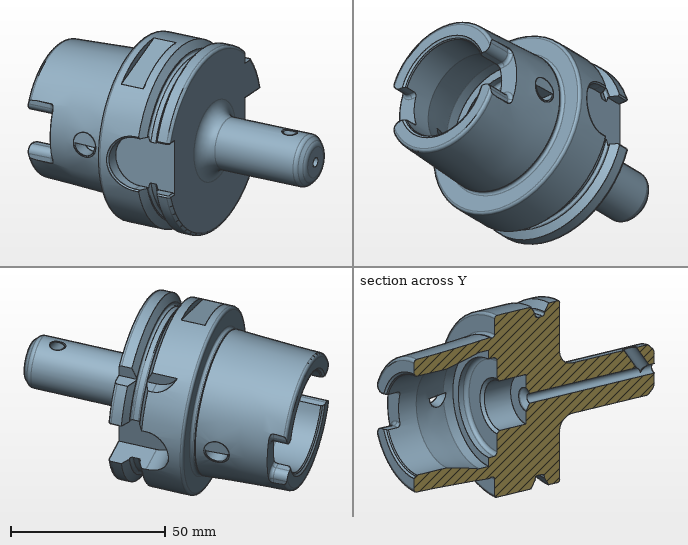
import cadquery as cq
import math

LENGTH = 95.5
FLANGE_START = 32.0
FLANGE_END = 58.0
FLANGE_RADIUS = 31.5
FLANGE_EDGE_FILLET = 1.0

TAPER_END = 30.2
TAPER_END_RADIUS = 24.45
TAPER_SLOPE = 1 / 20
NOSE_FILLET = 1.1
NECK_RADIUS = 48.2 / 2
NECK_START = 30.6
NECK_FILLET = 1.0

SHANK_RADIUS = 17.6 / 2
SHANK_ROOT_FILLET = 5.0
TIP_ROUND_START = 92.1
TIP_CHAMFER_START = 93.6
TIP_CHAMFER_END = 94.7
TIP_CHAMFER_END_RADIUS = 14.0 / 2

BORE_RADIUS = 34.0 / 2
BORE_MOUTH_DEPTH = 1.05
BORE_MOUTH_RADIUS = 18.05
BORE_LEAD_DEPTH = 0.6
BORE_LEAD_RADIUS = 17.3
BORE_DEPTH = 32.9
BORE_FLOOR_FILLET = 1.3
UNDERCUT_RADIUS = 40.0 / 2
UNDERCUT_START = 12.9
UNDERCUT_CONE_END = 25.8
UNDERCUT_END = 29.6
RECESS_MOUTH_RADIUS = 19.0 / 2
RECESS_RADIUS = 17.0 / 2
RECESS_DEPTH = 11.5
COUNTERSINK_RIM_RADIUS = 8.0 / 2
COUNTERSINK_RADIUS = 7.5 / 2
DRILL_POINT_HALF_ANGLE = 59.0
COOLANT_RADIUS = 3.15 / 2

GROOVE_CENTRE = 49.99
GROOVE_MOUTH_HALF_WIDTH = 3.49
GROOVE_NECK_HALF_WIDTH = 1.77
GROOVE_NECK_RADIUS = 28.7
GROOVE_FLOOR_RADIUS = 27.4
GROOVE_FLOOR_FILLET = 0.9

FLANGE_SLOT_CENTRE = 45.0
FRONT_SLOT_HALF_WIDTH = 9.0
FRONT_SLOT_FLOOR = 26.5
FRONT_SLOT_CHAMFER = 0.6
BACK_SLOT_HALF_WIDTH = 8.0
BACK_SLOT_FLOOR = 20.1
NOTCH_BOTTOM = 20.1

FLAT_START = 35.3
FLAT_LENGTH = 8.1
FLAT_SPAN = 21.6

KEY_HALF_WIDTH = 6.1
KEY_MOUTH_HALF_WIDTH = 10.4
KEY_ROUND = 2.6
KEY_ROUND_START = 18.05
KEY_FLOOR_FILLET = 1.2
FRONT_KEY_DEPTH = 9.8
BACK_KEY_DEPTH = 5.9

WALL_HOLE_STATION = 23.0
WALL_HOLE_RADIUS = 7.5 / 2
WALL_HOLE_MOUTH_RADIUS = 4.3
WALL_HOLE_MOUTH_DEPTH = 0.1

OUTLET_STATION = 85.9
OUTLET_RADIUS = 3.9 / 2
OUTLET_TILT = -35.0
OUTLET_CHAMFER = 0.3


def revolve_about_x(profile):
    """Turn a closed (axial, radial) profile about the X axis."""
    return profile.revolve(360, (0, 0, 0), (1, 0, 0))


def taper_radius(station):
    return TAPER_END_RADIUS - (TAPER_END - station) * TAPER_SLOPE


def taper_body():
    taper = revolve_about_x(
        cq.Workplane("XY")
        .lineTo(0, taper_radius(0))
        .lineTo(TAPER_END, TAPER_END_RADIUS)
        .lineTo(TAPER_END, 0)
        .close()
    )
    taper = taper.faces("<X").edges().fillet(NOSE_FILLET)
    neck = revolve_about_x(
        cq.Workplane("XY")
        .moveTo(TAPER_END, 0)
        .lineTo(TAPER_END, TAPER_END_RADIUS)
        .lineTo(NECK_START, NECK_RADIUS)
        .lineTo(FLANGE_START - NECK_FILLET, NECK_RADIUS)
        .radiusArc((FLANGE_START, NECK_RADIUS + NECK_FILLET), -NECK_FILLET)
        .lineTo(FLANGE_START, 0)
        .close()
    )
    return taper.union(neck)


def coolant_outlet():
    """Angled hole from the axial bore to the top of the shank."""
    tilt = math.radians(OUTLET_TILT)
    axis = cq.Vector(math.sin(tilt), 0, math.cos(tilt))
    mouth = cq.Vector(OUTLET_STATION, 0, SHANK_RADIUS)
    length = SHANK_RADIUS / math.cos(tilt)
    hole = cq.Solid.makeCylinder(OUTLET_RADIUS, 2 * length, mouth - axis * length, axis)
    return cq.Workplane(hole)


def shank_body():
    root_radius = SHANK_RADIUS + SHANK_ROOT_FILLET
    chamfer_length = TIP_CHAMFER_END - TIP_CHAMFER_START
    chamfer_start_radius = TIP_CHAMFER_END_RADIUS + chamfer_length
    diagonal = math.sin(math.radians(45))
    shoulder_round = (TIP_CHAMFER_START - TIP_ROUND_START) / diagonal
    end_round = (LENGTH - TIP_CHAMFER_END) / (1 - diagonal)
    end_radius = TIP_CHAMFER_END_RADIUS - end_round * diagonal
    shank = revolve_about_x(
        cq.Workplane("XY")
        .moveTo(FLANGE_END, 0)
        .lineTo(FLANGE_END, root_radius)
        .radiusArc((FLANGE_END + SHANK_ROOT_FILLET, SHANK_RADIUS), -SHANK_ROOT_FILLET)
        .lineTo(TIP_ROUND_START, SHANK_RADIUS)
        .radiusArc((TIP_CHAMFER_START, chamfer_start_radius), shoulder_round)
        .lineTo(TIP_CHAMFER_END, TIP_CHAMFER_END_RADIUS)
        .radiusArc((LENGTH, end_radius), end_round)
        .lineTo(LENGTH, 0)
        .close()
    )
    outlet_mouth = cq.selectors.BoxSelector(
        (OUTLET_STATION - 0.5, -1, SHANK_RADIUS - 1),
        (OUTLET_STATION + 0.5, 1, SHANK_RADIUS + 1),
    )
    return shank.cut(coolant_outlet()).edges(outlet_mouth).chamfer(OUTLET_CHAMFER)


def flange_slot(half_width, floor, side, centre_z=0.0):
    """Cutter open towards the shank, with its floor at Y = side * floor."""
    return (
        cq.Workplane("XZ", origin=(0, side * floor, 0))
        .moveTo(LENGTH, centre_z - half_width)
        .lineTo(FLANGE_SLOT_CENTRE, centre_z - half_width)
        .threePointArc(
            (FLANGE_SLOT_CENTRE - half_width, centre_z),
            (FLANGE_SLOT_CENTRE, centre_z + half_width),
        )
        .lineTo(LENGTH, centre_z + half_width)
        .close()
        .extrude(-side * FLANGE_RADIUS)
    )


def gripper_groove():
    floor_half_width = GROOVE_NECK_HALF_WIDTH - GROOVE_FLOOR_FILLET
    fillet_top = GROOVE_FLOOR_RADIUS + GROOVE_FLOOR_FILLET
    left_neck = GROOVE_CENTRE - GROOVE_NECK_HALF_WIDTH
    right_neck = GROOVE_CENTRE + GROOVE_NECK_HALF_WIDTH
    return revolve_about_x(
        cq.Workplane("XY")
        .moveTo(GROOVE_CENTRE - GROOVE_MOUTH_HALF_WIDTH, FLANGE_RADIUS)
        .lineTo(left_neck, GROOVE_NECK_RADIUS)
        .lineTo(left_neck, fillet_top)
        .radiusArc((GROOVE_CENTRE - floor_half_width, GROOVE_FLOOR_RADIUS), -GROOVE_FLOOR_FILLET)
        .lineTo(GROOVE_CENTRE + floor_half_width, GROOVE_FLOOR_RADIUS)
        .radiusArc((right_neck, fillet_top), -GROOVE_FLOOR_FILLET)
        .lineTo(right_neck, GROOVE_NECK_RADIUS)
        .lineTo(GROOVE_CENTRE + GROOVE_MOUTH_HALF_WIDTH, FLANGE_RADIUS)
        .close()
    )


def flange_flat():
    """Pocket with a flat floor on a chord that starts at the top of the flange."""
    half_angle = math.asin(FLAT_SPAN / FLANGE_RADIUS) / 2
    chord_distance = FLANGE_RADIUS * math.cos(half_angle)
    chord_length = 2 * FLANGE_RADIUS * math.sin(half_angle)
    pocket_height = FLANGE_RADIUS - chord_distance
    return (
        cq.Workplane("XY")
        .box(FLAT_LENGTH, chord_length, pocket_height, centered=(False, True, False))
        .translate((FLAT_START, 0, chord_distance))
        .rotate((0, 0, 0), (1, 0, 0), math.degrees(half_angle))
    )


def flange_body():
    flange = (
        cq.Workplane("YZ", origin=(FLANGE_START, 0, 0))
        .circle(FLANGE_RADIUS)
        .extrude(FLANGE_END - FLANGE_START)
        .edges()
        .fillet(FLANGE_EDGE_FILLET)
    )
    flange = flange.cut(flange_slot(FRONT_SLOT_HALF_WIDTH, FRONT_SLOT_FLOOR, -1))

    mouth_reach = FRONT_SLOT_HALF_WIDTH + 1.5
    front_slot_mouth = cq.selectors.BoxSelector(
        (FLANGE_START + 0.5, -FLANGE_RADIUS - 1, -mouth_reach),
        (FLANGE_END - 0.8, -FRONT_SLOT_FLOOR - 0.8, mouth_reach),
    )
    mouth_edges = [
        edge for edge in flange.edges(front_slot_mouth).vals()
        if abs(edge.tangentAt(0.5).y) < 0.5
    ]
    flange = flange.newObject(mouth_edges).chamfer(FRONT_SLOT_CHAMFER)

    notch_centre = NOTCH_BOTTOM + BACK_SLOT_HALF_WIDTH
    for centre_z in (0.0, notch_centre):
        flange = flange.cut(flange_slot(BACK_SLOT_HALF_WIDTH, BACK_SLOT_FLOOR, 1, centre_z))
    return flange.cut(gripper_groove()).cut(flange_flat())


def key_slot(depth, side):
    """Drive key slot whose side walls flare out along a round at the mouth."""
    inner = KEY_HALF_WIDTH
    outer = KEY_MOUTH_HALF_WIDTH
    shelf = KEY_ROUND_START + KEY_ROUND
    flare = KEY_HALF_WIDTH + KEY_ROUND
    corner = KEY_ROUND * math.sin(math.radians(45))
    arc_y = KEY_ROUND_START + corner
    arc_z = flare - corner
    slot = (
        cq.Workplane("YZ")
        .moveTo(RECESS_RADIUS, -inner)
        .lineTo(KEY_ROUND_START, -inner)
        .threePointArc((arc_y, -arc_z), (shelf, -flare))
        .lineTo(shelf, -outer)
        .lineTo(FLANGE_RADIUS, -outer)
        .lineTo(FLANGE_RADIUS, outer)
        .lineTo(shelf, outer)
        .lineTo(shelf, flare)
        .threePointArc((arc_y, arc_z), (KEY_ROUND_START, inner))
        .lineTo(RECESS_RADIUS, inner)
        .close()
        .extrude(depth)
        .faces(">X")
        .edges()
        .fillet(KEY_FLOOR_FILLET)
    )
    return slot if side > 0 else slot.mirror("XZ")


def inner_bores():
    recess_chamfer = RECESS_MOUTH_RADIUS - RECESS_RADIUS
    recess_end = BORE_DEPTH + RECESS_DEPTH
    rim_end = recess_end + COUNTERSINK_RIM_RADIUS - COUNTERSINK_RADIUS
    drill_point_slope = math.tan(math.radians(DRILL_POINT_HALF_ANGLE))
    countersink_end = rim_end + (COUNTERSINK_RADIUS - COOLANT_RADIUS) / drill_point_slope
    return revolve_about_x(
        cq.Workplane("XY")
        .lineTo(0, BORE_MOUTH_RADIUS)
        .lineTo(BORE_LEAD_DEPTH, BORE_LEAD_RADIUS)
        .lineTo(BORE_MOUTH_DEPTH, BORE_RADIUS)
        .lineTo(UNDERCUT_START, BORE_RADIUS)
        .lineTo(UNDERCUT_CONE_END, UNDERCUT_RADIUS)
        .lineTo(UNDERCUT_END, UNDERCUT_RADIUS)
        .lineTo(UNDERCUT_END, BORE_RADIUS)
        .lineTo(BORE_DEPTH - BORE_FLOOR_FILLET, BORE_RADIUS)
        .radiusArc((BORE_DEPTH, BORE_RADIUS - BORE_FLOOR_FILLET), BORE_FLOOR_FILLET)
        .lineTo(BORE_DEPTH, RECESS_MOUTH_RADIUS)
        .lineTo(BORE_DEPTH + recess_chamfer, RECESS_RADIUS)
        .lineTo(recess_end, RECESS_RADIUS)
        .lineTo(recess_end, COUNTERSINK_RIM_RADIUS)
        .lineTo(rim_end, COUNTERSINK_RADIUS)
        .lineTo(countersink_end, COOLANT_RADIUS)
        .lineTo(LENGTH, COOLANT_RADIUS)
        .lineTo(LENGTH, 0)
        .close()
    )


def wall_hole():
    """Half-round hole across the taper, with a shallow full-round mouth at each end."""
    axis = cq.Workplane("XZ", origin=(WALL_HOLE_STATION, 0, 0))
    hole = (
        axis.moveTo(-WALL_HOLE_RADIUS, 0)
        .threePointArc((0, -WALL_HOLE_RADIUS), (WALL_HOLE_RADIUS, 0))
        .close()
        .extrude(FLANGE_RADIUS, both=True)
    )
    start = WALL_HOLE_STATION - 2 * WALL_HOLE_RADIUS
    skin = revolve_about_x(
        cq.Workplane("XY")
        .moveTo(start, taper_radius(start) - WALL_HOLE_MOUTH_DEPTH)
        .lineTo(TAPER_END, TAPER_END_RADIUS - WALL_HOLE_MOUTH_DEPTH)
        .lineTo(TAPER_END, FLANGE_RADIUS)
        .lineTo(start, FLANGE_RADIUS)
        .close()
    )
    mouths = axis.circle(WALL_HOLE_MOUTH_RADIUS).extrude(FLANGE_RADIUS, both=True).intersect(skin)
    return hole.union(mouths)


result = taper_body().union(flange_body()).union(shank_body())
result = result.cut(inner_bores())
result = result.cut(key_slot(FRONT_KEY_DEPTH, -1)).cut(key_slot(BACK_KEY_DEPTH, 1))
result = result.cut(wall_hole())